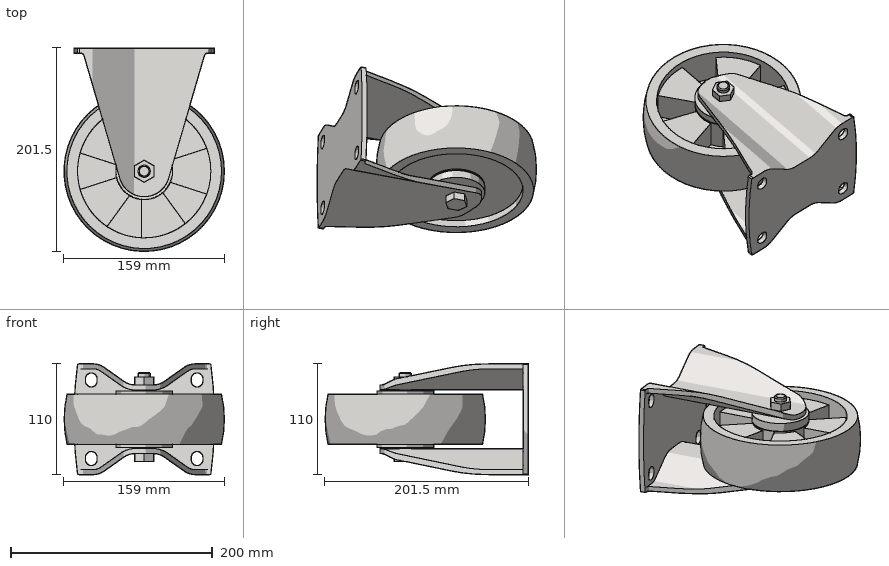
import cadquery as cq
import math


wheel_diameter = 159.0
tread_edge_radius = 76.5
wheel_width = 50.0
tread_radius = wheel_diameter / 2
rim_inner_radius = 132.0 / 2
hub_diameter = 56.5
hub_length = 56.5
hub_flange_thickness = 8.7
core_diameter = 54.8
web_width = 35.5
pocket_floor_thickness = 5.0
pocket_count = 5
pocket_edge_offset = 2.5
first_pocket_angle = 36.0

overall_length = 201.5
overall_height = 110.0
plate_thickness = 5.2
plate_edge_half_length = 64.3
plate_end_half_length = 66.1
plate_corner_drop = 0.6
plate_mid_half_length = 69.7
slot_width = 11.3
slot_length = 13.7
slot_x = 52.5
slot_z = 39.0
plate_back_y = overall_length - tread_radius
plate_front_y = plate_back_y - plate_thickness

sheet_thickness = 5.0
hub_gap = 0.8
valley_half_width = 8.9
bend_radius = 19.8
bend_angle = math.radians(35.3)
leg_tip_radius = 25.2
leg_taper = math.radians(16.3)
leg_root_fillet = 3.0
crest_z = overall_height / 2
valley_z = hub_length / 2 + hub_gap + sheet_thickness

bolt_diameter = 12.0
bolt_tip_z = 46.4
bolt_chamfer = 1.2
hex_across_flats = 19.0
hex_height = 7.9


def bent_face(profile, depth, end_x):
    """Continue `profile` along the corrugated face lying `depth` under the outer face.

    The face runs from the left crest over the central valley and ends at x = end_x.
    """
    valley_r = bend_radius + depth
    crest_r = bend_radius - depth
    slope_rise = crest_z - valley_z - 2 * bend_radius * (1 - math.cos(bend_angle))
    crest_x = valley_half_width + 2 * bend_radius * math.sin(bend_angle) + slope_rise / math.tan(bend_angle)

    def on_valley(angle):
        x = valley_half_width + valley_r * math.sin(angle)
        return x, valley_z + bend_radius - valley_r * math.cos(angle)

    def on_crest(angle):
        x = crest_x - crest_r * math.sin(angle)
        return x, crest_z - bend_radius + crest_r * math.cos(angle)

    def mirrored(point):
        return -point[0], point[1]

    half = bend_angle / 2
    return (
        profile.lineTo(*mirrored(on_crest(0)))
        .threePointArc(mirrored(on_crest(half)), mirrored(on_crest(bend_angle)))
        .lineTo(*mirrored(on_valley(bend_angle)))
        .threePointArc(mirrored(on_valley(half)), mirrored(on_valley(0)))
        .lineTo(*on_valley(0))
        .threePointArc(on_valley(half), on_valley(bend_angle))
        .lineTo(*on_crest(bend_angle))
        .threePointArc(on_crest(half), on_crest(0))
        .lineTo(end_x, crest_z - depth)
    )


def make_wheel():
    """Crowned wheel with a recessed, pocketed web and a flanged hub."""
    half_width = wheel_width / 2
    tread = (
        cq.Workplane("XZ")
        .moveTo(0, -half_width)
        .lineTo(tread_edge_radius, -half_width)
        .threePointArc((tread_radius, 0), (tread_edge_radius, half_width))
        .lineTo(0, half_width)
        .close()
        .revolve(360, (0, 0, 0), (0, 1, 0))
    )
    rim_bore = cq.Workplane("XY").circle(rim_inner_radius).extrude(half_width, both=True)
    web = cq.Workplane("XY").circle(rim_inner_radius).extrude(web_width / 2, both=True)
    for index in range(pocket_count):
        web = web.cut(make_pocket(first_pocket_angle + index * 360 / pocket_count))

    hub = cq.Workplane("XY").circle(core_diameter / 2).extrude(hub_length / 2, both=True)
    flange_start = hub_length / 2 - hub_flange_thickness
    flange = (
        cq.Workplane("XY").workplane(offset=flange_start)
        .circle(hub_diameter / 2).extrude(hub_flange_thickness)
    )
    hub = hub.union(flange).union(flange.mirror("XY"))
    return tread.cut(rim_bore).union(web).union(hub)


def make_pocket(angle):
    """Wedge-shaped pocket, open upwards and floored at the web's lower face, centred on `angle`."""
    pitch = math.radians(360 / pocket_count)
    half_angle = pitch / 4
    apex = pocket_edge_offset / math.sin(half_angle)
    half_spread = (tread_radius - apex) * math.tan(half_angle)
    wedge = (
        cq.Workplane("XY").workplane(offset=pocket_floor_thickness - web_width / 2)
        .polyline([(apex, 0), (tread_radius, -half_spread), (tread_radius, half_spread)])
        .close()
        .extrude(wheel_width)
    )
    disc = cq.Workplane("XY").circle(rim_inner_radius).extrude(wheel_width, both=True)
    return wedge.intersect(disc).rotate((0, 0, 0), (0, 0, 1), angle)


def section_at_plate_back():
    """XZ sketch plane on the back of the plate; extrusions run towards the wheel."""
    return cq.Workplane("XZ", origin=(0, plate_back_y, 0))


def make_plate():
    """Plate with bowed ends, its long edges following the outer faces of the legs."""
    end_x = plate_end_half_length
    corner_z = crest_z - plate_corner_drop
    left_end = (
        section_at_plate_back()
        .moveTo(-end_x, 0)
        .lineTo(-end_x, corner_z)
        .lineTo(-plate_edge_half_length, crest_z)
    )
    upper = (
        bent_face(left_end, 0, plate_edge_half_length)
        .lineTo(end_x, corner_z)
        .lineTo(end_x, 0)
        .close()
        .extrude(plate_thickness)
    )
    bow = (
        section_at_plate_back()
        .moveTo(end_x, -corner_z)
        .threePointArc((plate_mid_half_length, 0), (end_x, corner_z))
        .close()
        .extrude(plate_thickness)
    )
    plate = upper.union(upper.mirror("XY")).union(bow).union(bow.mirror("YZ"))
    slots = (
        section_at_plate_back()
        .rect(2 * slot_x, 2 * slot_z, forConstruction=True)
        .vertices()
        .slot2D(slot_length, slot_width, 90)
        .extrude(plate_thickness)
    )
    return plate.cut(slots)


def block_under_face(depth):
    """Everything from Z = 0 up to the corrugated face at `depth`, over the length of a leg."""
    end_x = plate_edge_half_length
    left_side = section_at_plate_back().moveTo(-end_x, 0).lineTo(-end_x, crest_z - depth)
    leg_length = plate_back_y + leg_tip_radius
    return bent_face(left_side, depth, end_x).lineTo(end_x, 0).close().extrude(leg_length)


def make_leg():
    """Upper leg: corrugated sheet trimmed to a tapered, round-tipped outline."""
    sheet = block_under_face(0).cut(block_under_face(sheet_thickness))

    end_x = plate_edge_half_length
    tip_x = leg_tip_radius * math.cos(leg_taper)
    tip_y = -leg_tip_radius * math.sin(leg_taper)
    root_x = tip_x + (plate_front_y - tip_y) * math.tan(leg_taper)
    outline = (
        cq.Workplane("XY")
        .moveTo(-tip_x, tip_y)
        .threePointArc((0, -leg_tip_radius), (tip_x, tip_y))
        .lineTo(root_x, plate_front_y)
        .lineTo(end_x, plate_front_y)
        .lineTo(end_x, plate_back_y)
        .lineTo(-end_x, plate_back_y)
        .lineTo(-end_x, plate_front_y)
        .lineTo(-root_x, plate_front_y)
        .close()
        .extrude(overall_height)
    )
    middle_z = overall_height / 2
    for corner_x in (-root_x, root_x):
        root_edge = cq.selectors.NearestToPointSelector((corner_x, plate_front_y, middle_z))
        outline = outline.edges("|Z").edges(root_edge).fillet(leg_root_fillet)
    return sheet.intersect(outline)


def make_bolt():
    """Axle shank with a nut on top and an equal hexagon head below."""
    hex_corners = hex_across_flats / math.cos(math.pi / 6)
    head_z = valley_z + hex_height
    shank = (
        cq.Workplane("XY").workplane(offset=-head_z)
        .circle(bolt_diameter / 2).extrude(head_z + bolt_tip_z)
        .faces(">Z").chamfer(bolt_chamfer)
    )
    nut = (
        cq.Workplane("XY").workplane(offset=valley_z)
        .transformed(rotate=(0, 0, 90))
        .polygon(6, hex_corners).extrude(hex_height)
    )
    return shank.union(nut).union(nut.mirror("XY"))


leg = make_leg()
result = make_wheel().union(make_plate()).union(leg).union(leg.mirror("XY")).union(make_bolt())